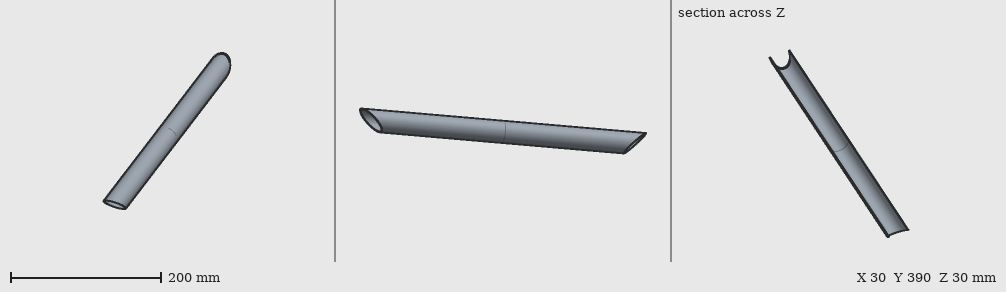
import cadquery as cq

outer_diameter = 30.0
wall_thickness = 1.5
top_length = 390.0
bottom_length = top_length - 2 * outer_diameter

outer_radius = outer_diameter / 2
inner_radius = outer_radius - wall_thickness


def make_tube():
    """Square-ended tube centred on the origin, running along Y."""
    return (
        cq.Workplane("XZ")
        .circle(outer_radius)
        .circle(inner_radius)
        .extrude(top_length / 2, both=True)
    )


def make_mitre_envelope():
    """Trapezoidal block whose sloping ends are the two mitre planes."""
    return (
        cq.Workplane("YZ")
        .moveTo(-top_length / 2, outer_radius)
        .lineTo(top_length / 2, outer_radius)
        .lineTo(bottom_length / 2, -outer_radius)
        .lineTo(-bottom_length / 2, -outer_radius)
        .close()
        .extrude(outer_diameter, both=True)
    )


result = make_tube().intersect(make_mitre_envelope())